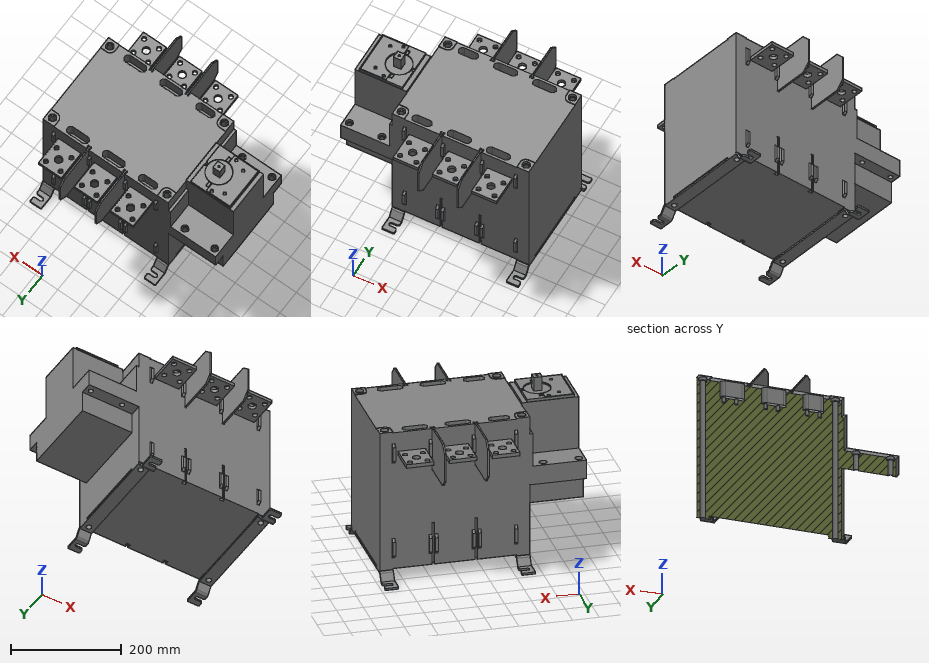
import cadquery as cq
import math

OVERALL_HEIGHT = 327.04

BODY_LENGTH = 280.0
BODY_WIDTH = 200.0
BODY_BOTTOM = 22.8
BODY_TOP = 292.3
HALF_WIDTH = BODY_WIDTH / 2

PAD_SIZE = 24.7
PAD_CORNER_RADIUS = 11.0
TOP_PAD_HEIGHT = 1.5
SCREW_INSET_X = 12.0
SCREW_INSET_Y = 12.5
SCREW_HOLE_DIAMETER = 10.0
SCREW_HEAD_DIAMETER = 15.0
SCREW_HEAD_DEPTH = 6.0

POLE_COUNT = 3
POLE_PITCH = 80.3
POLE_ROW_CENTER = 140.2
POLE_CENTERS = [POLE_ROW_CENTER + (i - (POLE_COUNT - 1) / 2) * POLE_PITCH for i in range(POLE_COUNT)]
BARRIER_CENTERS = [x + POLE_PITCH / 2 for x in POLE_CENTERS[:-1]]

TERMINAL_WIDTH = 51.0
TERMINAL_REACH = 60.0
TERMINAL_BOTTOM = 247.5
TERMINAL_THICKNESS = 7.0
TERMINAL_PATTERN_OFFSET = 33.5
TERMINAL_CENTER_HOLE = 15.0
TERMINAL_CORNER_HOLE = 9.0
TERMINAL_HOLE_SPACING = 33.0

POCKET_WIDTH = 15.2
POCKET_INSET = 12.5
POCKET_DEPTH = 30.0
POCKET_RANGES = [(35.0, 74.0), (107.5, 154.5), (187.5, 234.5)]
POCKET_HOLE_OFFSETS = (-17.5, 6.5)
POCKET_HOLE_DIAMETER = 6.0
POCKET_HOLE_DEPTH = 10.0

GROOVE_LENGTH = 82.4
GROOVE_NECK_WIDTH = 4.0
GROOVE_NECK_DEPTH = 3.0
GROOVE_HEAD_WIDTH = 7.5
GROOVE_DEPTH = 7.5

BARRIER_SPAN = 370.0
BARRIER_THICKNESS = 3.0
BARRIER_SHIFT = -0.3
BARRIER_CHAMFER = 15.0

TAB_WIDTH = 5.5
TAB_PROUD = 5.5
TAB_HEIGHT = 38.0
TAB_CHAMFER = 5.5
TAB_ROW_BOTTOMS = (44.5, 232.5)
TAB_CENTERS = [26.0, 94.0, 105.0, 174.5, 185.5, 254.3]

FOOT_WIDTH = 25.0
FOOT_THICKNESS = 4.0
FOOT_SPAN = 280.0
FOOT_RISE = 16.3
FOOT_UPPER_BEND_Y = 101.3
FOOT_LOWER_BEND_Y = 111.5
FOOT_BEND_RADIUS = 6.0
FOOT_CORNER_RADIUS = 1.5
FOOT_SLOT_WIDTH = 8.0
FOOT_SLOT_END_X = 11.0
FOOT_SLOT_Y = 124.5
FOOT_SLOT_MOUTH_RADIUS = 4.0
FOOT_STARTS = (0.0, BODY_LENGTH - FOOT_WIDTH)

DRIVE_LENGTH = 106.0
DRIVE_LOWER_WIDTH = 154.0
DRIVE_LOWER_BOTTOM = 112.5
FLANGE_BOTTOM = 159.0
FLANGE_TOP = 195.5
DRIVE_HEAD_WIDTH = 91.5
DRIVE_HEAD_TOP = 297.5
SPACER_THICKNESS = 5.5
SPACER_TOP = 260.0
FLANGE_HOLE_XS = (-94.5, -28.0)
FLANGE_HOLE_DIAMETER = 9.0
FLANGE_HEAD_DIAMETER = 14.0
FLANGE_HEAD_DEPTH = 6.0

COVER_X_MIN = -98.0
COVER_X_MAX = -9.5
COVER_WIDTH = 89.5
COVER_THICKNESS = 5.2
COVER_TOP = DRIVE_HEAD_TOP + COVER_THICKNESS
LABEL_X_MIN = -96.0
LABEL_X_MAX = -43.5
LABEL_WIDTH = 86.0
RAISED_THICKNESS = 0.4
DIAL_X = -39.8
DIAL_RADIUS = 25.0
DIAL_CLEARANCE = 0.5
DIAL_RECESS_DEPTH = 2.5
DIAL_FLOOR = COVER_TOP - DIAL_RECESS_DEPTH
MARKER_X_MIN = -42.0
MARKER_X_MAX = -36.5
MARKER_Y_END = 35.0
POINTER_HALF_WIDTH = 3.5
POINTER_SHOULDER_X = -12.0
SHAFT_SIDE = 15.5
SHAFT_HOLE_DIAMETER = 4.0
SHAFT_HOLE_DEPTH = 10.0
COVER_HOLES = [(-73.5, 28.0), (-51.5, 37.5)]
COVER_HOLE_DIAMETER = 6.0
COVER_HOLE_DEPTH = 4.0


def block(x_min, x_max, y_min, y_max, z_min, z_max):
    """Axis-aligned box given by its limits."""
    size = (x_max - x_min, y_max - y_min, z_max - z_min)
    return cq.Workplane("XY").box(*size, centered=False).translate((x_min, y_min, z_min))


def centered_block(x_min, x_max, width, z_min, z_max):
    """Box of the given Y width, symmetric about Y = 0."""
    return block(x_min, x_max, -width / 2, width / 2, z_min, z_max)


def drill(x, y, diameter, z_top, depth):
    """Vertical cylinder reaching down from z_top."""
    return cq.Workplane("XY").circle(diameter / 2).extrude(depth).translate((x, y, z_top - depth))


def on_both_sides(shape):
    """The shape together with its mirror image across Y = 0."""
    return shape.union(shape.mirror("XZ"))


def corner_pads(z_min, z_max):
    """Four square pads in the body corners, each rounded toward the body centre."""
    near = block(0, PAD_SIZE, HALF_WIDTH - PAD_SIZE, HALF_WIDTH, z_min, z_max)
    near = near.edges("|Z and >X and <Y").fillet(PAD_CORNER_RADIUS)
    far = near.mirror("YZ").translate((BODY_LENGTH, 0, 0))
    return on_both_sides(near.union(far))


def barrier_grooves():
    """T-shaped grooves, open at the body top and bottom, on both long sides."""
    grooves = cq.Workplane("XY")
    neck_floor = HALF_WIDTH - GROOVE_NECK_DEPTH
    groove_floor = HALF_WIDTH - GROOVE_DEPTH
    for x in BARRIER_CENTERS:
        for z in (BODY_BOTTOM, BODY_TOP - GROOVE_LENGTH):
            half_neck = GROOVE_NECK_WIDTH / 2
            half_head = GROOVE_HEAD_WIDTH / 2
            z_end = z + GROOVE_LENGTH
            grooves = grooves.union(block(x - half_neck, x + half_neck, neck_floor, HALF_WIDTH, z, z_end))
            grooves = grooves.union(block(x - half_head, x + half_head, groove_floor, neck_floor, z, z_end))
    return on_both_sides(grooves)


def terminal_pockets():
    """Round-ended pockets in the body top with two blind holes in each floor."""
    y = HALF_WIDTH - POCKET_INSET
    floor = BODY_TOP - POCKET_DEPTH
    pockets = cq.Workplane("XY")
    for (start, end), pole_x in zip(POCKET_RANGES, POLE_CENTERS):
        pocket = cq.Workplane("XY").slot2D(end - start, POCKET_WIDTH).extrude(POCKET_DEPTH)
        pockets = pockets.union(pocket.translate(((start + end) / 2, y, floor)))
        for offset in POCKET_HOLE_OFFSETS:
            pockets = pockets.union(drill(pole_x + offset, y, POCKET_HOLE_DIAMETER, floor, POCKET_HOLE_DEPTH))
    return on_both_sides(pockets)


def side_tabs():
    """Chamfered tabs standing proud of the long sides."""
    y_out = HALF_WIDTH + TAB_PROUD
    tabs = cq.Workplane("XY")
    for x in TAB_CENTERS:
        for z in TAB_ROW_BOTTOMS:
            outline = [
                (HALF_WIDTH, z),
                (y_out, z + TAB_CHAMFER),
                (y_out, z + TAB_HEIGHT - TAB_CHAMFER),
                (HALF_WIDTH, z + TAB_HEIGHT),
            ]
            tab = cq.Workplane("YZ").polyline(outline).close().extrude(TAB_WIDTH)
            tabs = tabs.union(tab.translate((x - TAB_WIDTH / 2, 0, 0)))
    return on_both_sides(tabs)


def terminals():
    """Drilled terminal bars reaching out of both long sides."""
    y_pattern = HALF_WIDTH + TERMINAL_PATTERN_OFFSET
    z_top = TERMINAL_BOTTOM + TERMINAL_THICKNESS
    y_end = HALF_WIDTH + TERMINAL_REACH
    half_spacing = TERMINAL_HOLE_SPACING / 2
    bars = cq.Workplane("XY")
    for x in POLE_CENTERS:
        bar = block(x - TERMINAL_WIDTH / 2, x + TERMINAL_WIDTH / 2, HALF_WIDTH, y_end, TERMINAL_BOTTOM, z_top)
        bar = bar.cut(drill(x, y_pattern, TERMINAL_CENTER_HOLE, z_top, TERMINAL_THICKNESS))
        for dx in (-half_spacing, half_spacing):
            for dy in (-half_spacing, half_spacing):
                hole = drill(x + dx, y_pattern + dy, TERMINAL_CORNER_HOLE, z_top, TERMINAL_THICKNESS)
                bar = bar.cut(hole)
        bars = bars.union(bar)
    return on_both_sides(bars)


def barriers():
    """Thin plates with chamfered outer corners, seated at the groove floors."""
    y_inner = HALF_WIDTH - GROOVE_DEPTH
    plates = cq.Workplane("XY")
    for x in BARRIER_CENTERS:
        x_min = x + BARRIER_SHIFT - BARRIER_THICKNESS / 2
        x_max = x_min + BARRIER_THICKNESS
        plate = block(x_min, x_max, y_inner, BARRIER_SPAN / 2, BODY_TOP - GROOVE_LENGTH, BODY_TOP)
        plates = plates.union(plate.edges("|X and >Y").chamfer(BARRIER_CHAMFER))
    return on_both_sides(plates)


def foot():
    """Cranked strip with an open-ended slot in each outer end, starting at X = 0."""
    slope = math.atan2(FOOT_RISE, FOOT_LOWER_BEND_Y - FOOT_UPPER_BEND_Y)
    miter = FOOT_THICKNESS * math.tan(slope / 2)
    top = FOOT_RISE + FOOT_THICKNESS
    end = FOOT_SPAN / 2
    outline = [
        (0, top),
        (FOOT_UPPER_BEND_Y, top),
        (FOOT_LOWER_BEND_Y, FOOT_THICKNESS),
        (end, FOOT_THICKNESS),
        (end, 0),
        (FOOT_LOWER_BEND_Y - miter, 0),
        (FOOT_UPPER_BEND_Y - miter, FOOT_RISE),
        (0, FOOT_RISE),
    ]
    half = cq.Workplane("YZ").polyline(outline).close().extrude(FOOT_WIDTH)
    half = half.edges("|Z and >Y").fillet(FOOT_CORNER_RADIUS)
    for bend in ((FOOT_UPPER_BEND_Y, top), (FOOT_LOWER_BEND_Y - miter, 0)):
        half = half.edges(cq.selectors.NearestToPointSelector((FOOT_WIDTH / 2, *bend)))
        half = half.fillet(FOOT_BEND_RADIUS)
    half = half.cut(foot_slot())
    return on_both_sides(half)


def foot_slot():
    """Slot with a round inner end and a mouth flared by two quarter rounds."""
    half_slot = FOOT_SLOT_WIDTH / 2
    flare = FOOT_SLOT_MOUTH_RADIUS
    half_mouth = half_slot + flare
    flare_x = FOOT_WIDTH - flare
    bulge = flare * math.sin(math.pi / 4)
    slot = (
        cq.Workplane("XY")
        .moveTo(FOOT_SLOT_END_X, half_slot)
        .lineTo(flare_x, half_slot)
        .threePointArc((flare_x + bulge, half_mouth - bulge), (FOOT_WIDTH, half_mouth))
        .lineTo(FOOT_WIDTH, -half_mouth)
        .threePointArc((flare_x + bulge, bulge - half_mouth), (flare_x, -half_slot))
        .lineTo(FOOT_SLOT_END_X, -half_slot)
        .threePointArc((FOOT_SLOT_END_X - half_slot, 0), (FOOT_SLOT_END_X, half_slot))
        .close()
        .extrude(FOOT_THICKNESS)
    )
    return slot.translate((0, FOOT_SLOT_Y, 0))


def corner_screw_holes():
    """Counterbored holes down through the body corners and the feet."""
    y = HALF_WIDTH - SCREW_INSET_Y
    z_top = BODY_TOP + TOP_PAD_HEIGHT
    holes = cq.Workplane("XY")
    for x in (SCREW_INSET_X, BODY_LENGTH - SCREW_INSET_X):
        holes = holes.union(drill(x, y, SCREW_HOLE_DIAMETER, z_top, z_top))
        holes = holes.union(drill(x, y, SCREW_HEAD_DIAMETER, z_top, SCREW_HEAD_DEPTH))
    return on_both_sides(holes)


def drive_housing():
    """Stepped housing: lower block, wide flange, narrow head and body-side spacer."""
    housing = centered_block(-DRIVE_LENGTH, 0, DRIVE_LOWER_WIDTH, DRIVE_LOWER_BOTTOM, FLANGE_BOTTOM)
    housing = housing.union(centered_block(-DRIVE_LENGTH, 0, BODY_WIDTH, FLANGE_BOTTOM, FLANGE_TOP))
    housing = housing.union(centered_block(-DRIVE_LENGTH, 0, DRIVE_HEAD_WIDTH, FLANGE_TOP, DRIVE_HEAD_TOP))
    housing = housing.union(centered_block(-SPACER_THICKNESS, 0, BODY_WIDTH, FLANGE_TOP, SPACER_TOP))
    y = HALF_WIDTH - SCREW_INSET_Y
    holes = cq.Workplane("XY")
    for x in FLANGE_HOLE_XS:
        holes = holes.union(drill(x, y, FLANGE_HOLE_DIAMETER, FLANGE_TOP, FLANGE_TOP - FLANGE_BOTTOM))
        holes = holes.union(drill(x, y, FLANGE_HEAD_DIAMETER, FLANGE_TOP, FLANGE_HEAD_DEPTH))
    return housing.cut(on_both_sides(holes))


def drive_cover():
    """Cover plate with a raised label, a recessed dial, marker windows, a pointer notch and holes."""
    raised_top = COVER_TOP + RAISED_THICKNESS
    cover = centered_block(COVER_X_MIN, COVER_X_MAX, COVER_WIDTH, DRIVE_HEAD_TOP, COVER_TOP)
    label = centered_block(LABEL_X_MIN, LABEL_X_MAX, LABEL_WIDTH, COVER_TOP, raised_top)
    label_cutout = 2 * (DIAL_RADIUS + DIAL_CLEARANCE)
    label = label.cut(drill(DIAL_X, 0, label_cutout, raised_top, RAISED_THICKNESS))
    cover = cover.union(label)

    notch_outline = [
        (COVER_X_MAX, POINTER_HALF_WIDTH),
        (POINTER_SHOULDER_X, POINTER_HALF_WIDTH),
        (DIAL_X + DIAL_RADIUS + DIAL_CLEARANCE, 0),
        (POINTER_SHOULDER_X, -POINTER_HALF_WIDTH),
        (COVER_X_MAX, -POINTER_HALF_WIDTH),
    ]
    notch = cq.Workplane("XY").polyline(notch_outline).close().extrude(DIAL_RECESS_DEPTH)
    cover = cover.cut(notch.translate((0, 0, DIAL_FLOOR)))

    marker_start = DIAL_RADIUS + DIAL_CLEARANCE
    marker = block(MARKER_X_MIN, MARKER_X_MAX, marker_start, MARKER_Y_END, DIAL_FLOOR, COVER_TOP)
    cover = cover.cut(on_both_sides(marker))
    cover = cover.cut(drill(DIAL_X, 0, 2 * DIAL_RADIUS, COVER_TOP, DIAL_RECESS_DEPTH))

    for x, y in COVER_HOLES:
        hole = drill(x, y, COVER_HOLE_DIAMETER, raised_top, COVER_HOLE_DEPTH)
        cover = cover.cut(on_both_sides(hole))
    return cover


def shaft():
    """Square drive shaft with a blind centre hole."""
    half_side = SHAFT_SIDE / 2
    bar = centered_block(DIAL_X - half_side, DIAL_X + half_side, SHAFT_SIDE, DIAL_FLOOR, OVERALL_HEIGHT)
    return bar.cut(drill(DIAL_X, 0, SHAFT_HOLE_DIAMETER, OVERALL_HEIGHT, SHAFT_HOLE_DEPTH))


body = centered_block(0, BODY_LENGTH, BODY_WIDTH, BODY_BOTTOM, BODY_TOP)
body = body.union(corner_pads(BODY_TOP, BODY_TOP + TOP_PAD_HEIGHT))
body = body.union(corner_pads(FOOT_RISE + FOOT_THICKNESS, BODY_BOTTOM))
body = body.cut(terminal_pockets()).cut(barrier_grooves())
body = body.union(side_tabs()).union(terminals()).union(barriers())
for foot_x in FOOT_STARTS:
    body = body.union(foot().translate((foot_x, 0, 0)))
body = body.cut(corner_screw_holes())

result = body.union(drive_housing()).union(drive_cover()).union(shaft())